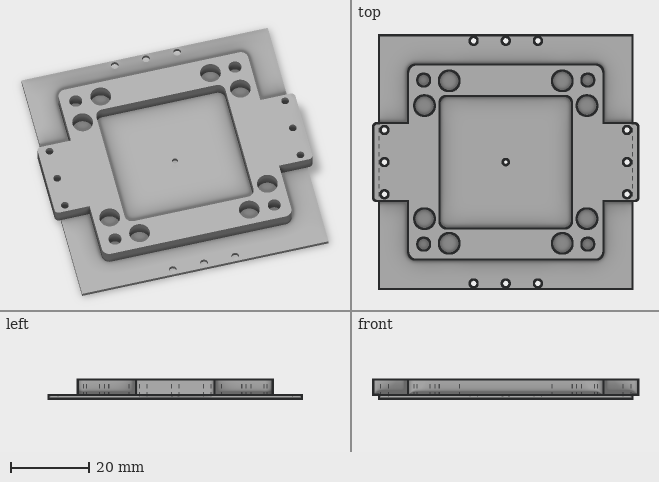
import cadquery as cq

plate_side = 65.0
plate_thickness = 1.0
center_hole_diameter = 1.5

total_height = 5.0
frame_height = total_height - plate_thickness
frame_side = 50.0
frame_corner_radius = 2.0
tab_span = 68.0
tab_width = 20.0
tab_corner_radius = 1.0
window_side = 34.0
window_corner_radius = 2.0

edge_hole_diameter = 2.0
edge_hole_offset = 31.1
edge_hole_pitch = 8.2

corner_hole_diameter = 3.3
corner_hole_offset = 21.0
large_hole_diameter = 5.3
large_hole_outer_offset = 20.8
large_hole_inner_offset = 14.5


def rounded_block(size_x, size_y, radius):
    """Block of frame height standing on the plate, with rounded upright edges."""
    block = cq.Workplane("XY").workplane(offset=plate_thickness).rect(size_x, size_y)
    return block.extrude(frame_height).edges("|Z").fillet(radius)


def drill_through(body, points, diameter):
    """Cut vertical holes through the full height of a body."""
    drills = cq.Workplane("XY").pushPoints(points).circle(diameter / 2).extrude(total_height)
    return body.cut(drills)


def mirrored_points(x, y):
    """The point repeated in all four quadrants."""
    return [(sign_x * x, sign_y * y) for sign_x in (-1, 1) for sign_y in (-1, 1)]


row_positions = [step * edge_hole_pitch for step in (-1, 0, 1)]
tab_holes = [(side * edge_hole_offset, along) for side in (-1, 1) for along in row_positions]
plate_end_holes = [(along, side * edge_hole_offset) for side in (-1, 1) for along in row_positions]


def make_plate():
    """Thin square plate with holes along all four sides and one in the center."""
    plate = cq.Workplane("XY").rect(plate_side, plate_side).extrude(plate_thickness)
    plate = drill_through(plate, tab_holes + plate_end_holes, edge_hole_diameter)
    return drill_through(plate, [(0, 0)], center_hole_diameter)


def make_frame():
    """Tabbed frame with an open window; its corner holes end on the plate."""
    square = rounded_block(frame_side, frame_side, frame_corner_radius)
    tabs = rounded_block(tab_span, tab_width, tab_corner_radius)
    window = rounded_block(window_side, window_side, window_corner_radius)
    frame = square.union(tabs).cut(window)

    frame = drill_through(frame, tab_holes, edge_hole_diameter)
    corner_holes = mirrored_points(corner_hole_offset, corner_hole_offset)
    frame = drill_through(frame, corner_holes, corner_hole_diameter)
    large_holes = (
        mirrored_points(large_hole_outer_offset, large_hole_inner_offset)
        + mirrored_points(large_hole_inner_offset, large_hole_outer_offset)
    )
    return drill_through(frame, large_holes, large_hole_diameter)


plate = make_plate()
frame = make_frame()
result = cq.Compound.makeCompound([plate.solids().val(), frame.solids().val()])